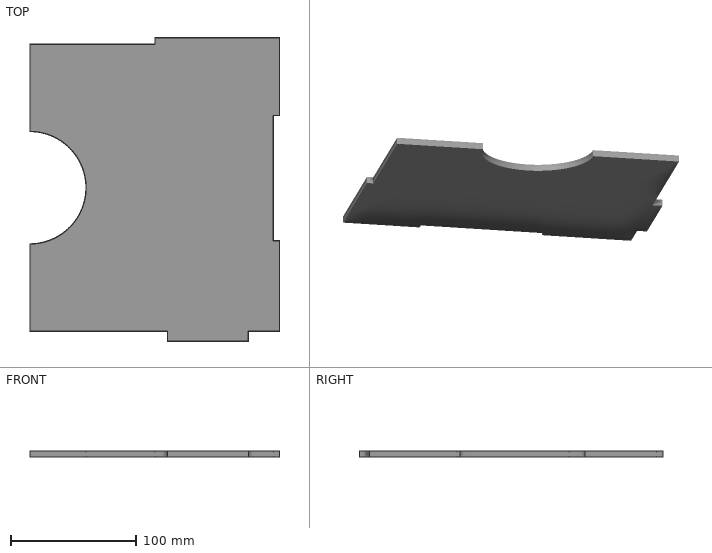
import cadquery as cq

thickness = 5.0
width = 200.0
body_length = 229.9

step_height = thickness
step_start = width / 2

tab_start = 110.0
tab_width = 65.0
tab_depth = 8.0

notch_depth = thickness
notch_length = width / 2
notch_from_back = 62.5

cutout_radius = 45.0

back = body_length + step_height
notch_back = back - notch_from_back
notch_front = notch_back - notch_length
notch_floor = width - notch_depth
tab_end = tab_start + tab_width
cutout_center = body_length / 2

outline = (
    cq.Workplane("XY")
    .moveTo(0, 0)
    .lineTo(tab_start, 0)
    .lineTo(tab_start, -tab_depth)
    .lineTo(tab_end, -tab_depth)
    .lineTo(tab_end, 0)
    .lineTo(width, 0)
    .lineTo(width, notch_front)
    .lineTo(notch_floor, notch_front)
    .lineTo(notch_floor, notch_back)
    .lineTo(width, notch_back)
    .lineTo(width, back)
    .lineTo(step_start, back)
    .lineTo(step_start, body_length)
    .lineTo(0, body_length)
    .lineTo(0, cutout_center + cutout_radius)
    .threePointArc((cutout_radius, cutout_center), (0, cutout_center - cutout_radius))
    .close()
)

result = outline.extrude(thickness)